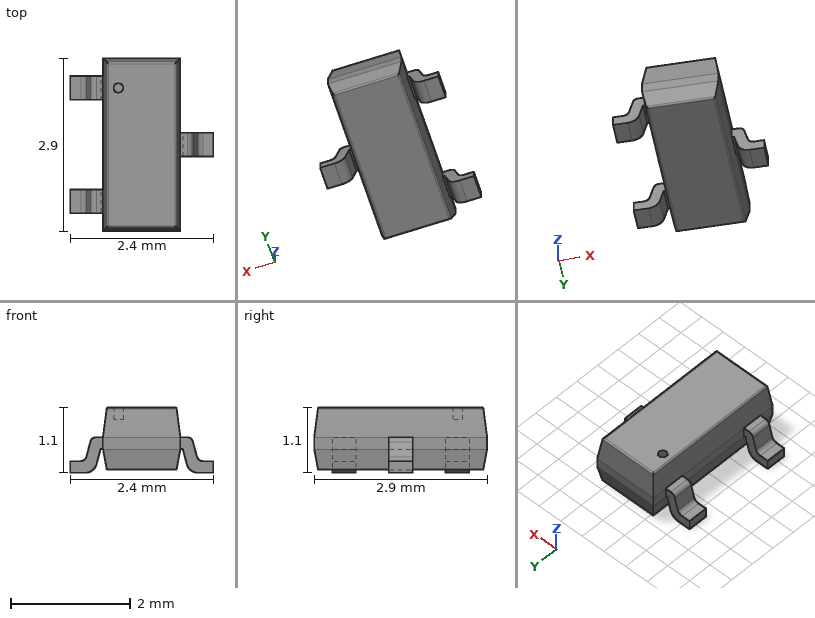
import cadquery as cq
import math

body_width = 1.3
body_length = 2.9
body_bottom = 0.05
body_top = 1.1
end_face_inset = 0.065
edge_radius = 0.032

mark_diameter = 0.16
mark_depth = 0.2
mark_x = -0.39

lead_span = 2.4
lead_width = 0.4
lead_thickness = 0.2
lead_pitch = 0.95
lead_top = 0.6
lead_bottom = lead_top - lead_thickness
lead_angle = math.radians(75)
lead_shoulder_x = 0.84
shoulder_radius = 0.1
foot_inner_radius = 0.1
foot_outer_radius = 0.2


def tapered_half(start_z, end_z):
    """Half of the body, narrowing from start_z to a rounded face at end_z."""
    height = abs(end_z - start_z)
    draft_angle = math.degrees(math.atan(end_face_inset / height))
    half = (
        cq.Workplane("XY")
        .rect(body_width, body_length)
        .extrude(height, taper=draft_angle)
        .faces(">Z")
        .edges()
        .fillet(edge_radius)
    )
    if end_z < start_z:
        half = half.mirror("XY")
    return half.translate((0, 0, start_z))


def make_body():
    """Straight band at the height of the leads, a tapered half above and below, and the mark."""
    band = (
        cq.Workplane("XY")
        .workplane(offset=lead_bottom)
        .rect(body_width, body_length)
        .extrude(lead_thickness)
    )
    mark = (
        cq.Workplane("XY")
        .workplane(offset=body_top - mark_depth)
        .center(mark_x, lead_pitch)
        .circle(mark_diameter / 2)
        .extrude(mark_depth)
    )
    upper = tapered_half(lead_top, body_top)
    lower = tapered_half(lead_bottom, body_bottom)
    return band.union(upper).union(lower).cut(mark)


def make_lead(y, turn):
    """Gull-wing lead centred on y, pointing to +X and then turned about the Z axis."""
    wall_x = body_width / 2
    tip_x = lead_span / 2

    def outer_x(z):
        return lead_shoulder_x + (lead_top - z) / math.tan(lead_angle)

    def inner_x(z):
        return outer_x(z) - lead_thickness / math.sin(lead_angle)

    shoulder = (lead_shoulder_x, lead_top)
    foot_inner = (outer_x(lead_thickness), lead_thickness)
    foot_outer = (inner_x(0), 0)
    lead = (
        cq.Workplane("XZ")
        .moveTo(wall_x, lead_top)
        .lineTo(*shoulder)
        .lineTo(*foot_inner)
        .lineTo(tip_x, lead_thickness)
        .lineTo(tip_x, 0)
        .lineTo(*foot_outer)
        .lineTo(inner_x(lead_bottom), lead_bottom)
        .lineTo(wall_x, lead_bottom)
        .close()
        .extrude(lead_width / 2, both=True)
    )
    bends = [
        (shoulder, shoulder_radius),
        (foot_inner, foot_inner_radius),
        (foot_outer, foot_outer_radius),
    ]
    for (x, z), radius in bends:
        lead = lead.edges(cq.NearestToPointSelector((x, 0, z))).fillet(radius)
    return lead.rotate((0, 0, 0), (0, 0, 1), turn).translate((0, y, 0))


body = make_body()

lead_places = [(-lead_pitch, 180), (lead_pitch, 180), (0, 0)]
leads = [make_lead(y, turn) for y, turn in lead_places]

result = cq.Compound.makeCompound([body.val(), *[lead.val() for lead in leads]])